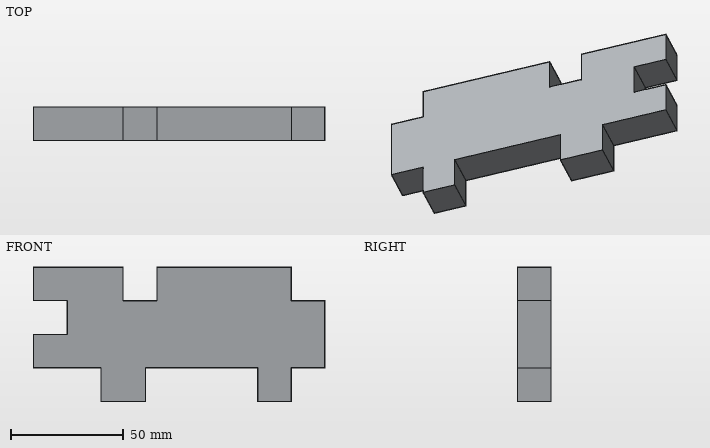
import cadquery as cq

length = 130.0
height = 60.0
thickness = 15.0

joint_depth = thickness

body_bottom = joint_depth
body_top = height - joint_depth

top_notch_start = 40.0
top_notch_end = top_notch_start + thickness
right_shoulder = length - joint_depth

left_foot_start = 30.0
left_foot_width = 20.0
right_foot_width = thickness

end_notch_height = thickness


def box_between(x_start, x_end, z_start, z_end):
    """Full-thickness block spanning the given X and Z ranges."""
    return cq.Workplane("XY").box(
        x_end - x_start, thickness, z_end - z_start, centered=False
    ).translate((x_start, 0, z_start))


def add_top_tabs(plate):
    left_tab = box_between(0, top_notch_start, body_top, height)
    right_tab = box_between(top_notch_end, right_shoulder, body_top, height)
    return plate.union(left_tab).union(right_tab)


def add_bottom_tabs(plate):
    left_foot = box_between(left_foot_start, left_foot_start + left_foot_width, 0, body_bottom)
    right_foot = box_between(right_shoulder - right_foot_width, right_shoulder, 0, body_bottom)
    return plate.union(left_foot).union(right_foot)


def cut_end_notch(plate):
    notch = box_between(0, joint_depth, body_top - end_notch_height, body_top)
    return plate.cut(notch)


body = box_between(0, length, body_bottom, body_top)
body = add_top_tabs(body)
body = add_bottom_tabs(body)
body = cut_end_notch(body)
result = body.clean()